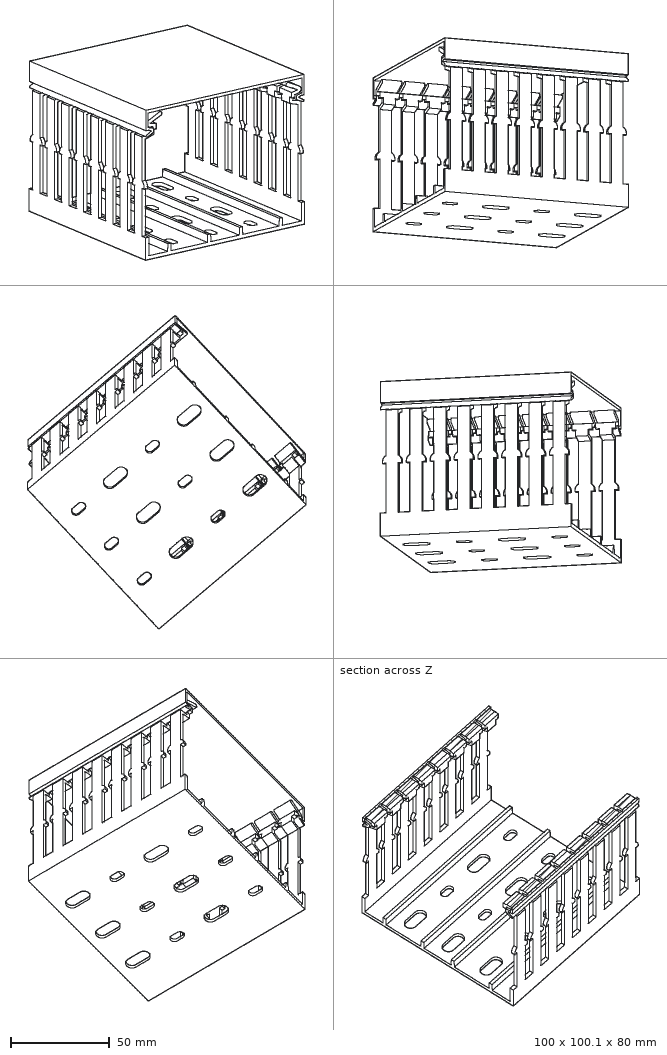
import cadquery as cq
import math

LENGTH = 100.0
WIDTH = 100.1
HEIGHT = 80.0
BOTTOM = -HEIGHT / 2
TOP = HEIGHT / 2

WALL = 2.1
RAIL_HEIGHT = 12.0
SHOULDER_Z = 25.0
INNER_SHOULDER_Z = 23.4
WALL_OUTER = WIDTH / 2
WALL_INNER = WALL_OUTER - WALL

NECK_OUTER = 44.7
NECK_INNER = 42.5
NECK_BOTTOM_INNER_Z = 25.1
NECK_BOTTOM_OUTER_Z = 26.2
NECK_TOP_OUTER_Z = 29.9
NECK_TOP_INNER_Z = 31.4
HOOK_OUTER = 48.3
HOOK_LOWER_Z = 30.7
HOOK_ROOT_Y = 46.2
HOOK_ROOT_Z = 32.1
ARM_TIP_Y = 40.1
ARM_TIP_Z = 36.1
ARM_TIP_RADIUS = 1.1
ARM_ANGLE = 25.5
HOOK_BEND_RADIUS = 1.3

FINGER_COUNT = 8
FINGER_PITCH = 12.5
FINGER_WIDTH = 6.5
HEAD_WIDTH = 10.5
HEAD_BOTTOM_Z = 28.4

BARB_REACH = 1.8
BARB_TOP_Z = 1.5
BARB_CORNER_Z = -1.6
BARB_BOTTOM_Z = -2.4

RIB_HEIGHT = 4.1
RIB_BASE_WIDTH = 2.3
RIB_TOP_WIDTH = 1.8
RIB_PLACES = (-35.0, -10.0, 10.0, 35.0)

SLOT_ROWS = (-25.0, 0.0, 25.0)
SLOT_PITCH = 50.0
LARGE_SLOT_LENGTH = 14.0
LARGE_SLOT_WIDTH = 6.5
LARGE_SLOT_START = -37.5
SMALL_SLOT_LENGTH = 8.0
SMALL_SLOT_WIDTH = 4.5
SMALL_SLOT_START = -12.5

COVER_OUTER = 49.6
COVER_TOP_THICKNESS = 1.7
COVER_SIDE_BOTTOM_Z = 29.0
COVER_INNER = HOOK_OUTER
LIP_UPPER_Z = 30.4
LIP_NOSE_Y = 44.9
LIP_NOSE_UPPER_Z = 29.7
LIP_NOSE_LOWER_Z = 27.4
LIP_NOSE_RADIUS = 0.8
LIP_HEEL_Y = 47.7
NOTCH_Y = 46.4
NOTCH_Z = 28.3
LIP_TIP_Y = 49.0
LIP_TIP_Z = 26.1
LIP_TIP_RADIUS = 0.6
LIP_TIP_ANGLE = 27.0

PICK_MARGIN = 0.1


def extrude_profile(outline):
    """Extrude a YZ outline over the full length, centred on X."""
    return outline.extrude(LENGTH / 2, both=True)


def both_sides(shape):
    """Join a shape with its mirror image across the middle plane."""
    return shape.union(shape.mirror("XZ"))


def offset_point(y, z, distance, angle):
    """Point at a distance from (y, z) in the direction of an angle in degrees."""
    direction = math.radians(angle)
    return (y + distance * math.cos(direction), z + distance * math.sin(direction))


def wall_profile():
    """Wall, neck and snap hook on the +Y side as one strip."""
    arm_upper = offset_point(ARM_TIP_Y, ARM_TIP_Z, ARM_TIP_RADIUS, 90 - ARM_ANGLE)
    arm_end = offset_point(ARM_TIP_Y, ARM_TIP_Z, ARM_TIP_RADIUS, 180 - ARM_ANGLE)
    arm_lower = offset_point(ARM_TIP_Y, ARM_TIP_Z, ARM_TIP_RADIUS, -90 - ARM_ANGLE)
    bend_z = arm_upper[1] - (HOOK_OUTER - arm_upper[0]) * math.tan(math.radians(ARM_ANGLE))
    return (
        cq.Workplane("YZ")
        .moveTo(WALL_OUTER, BOTTOM)
        .lineTo(WALL_OUTER, SHOULDER_Z)
        .lineTo(NECK_OUTER, NECK_BOTTOM_OUTER_Z)
        .lineTo(NECK_OUTER, NECK_TOP_OUTER_Z)
        .lineTo(HOOK_OUTER, HOOK_LOWER_Z)
        .lineTo(HOOK_OUTER, bend_z)
        .lineTo(*arm_upper)
        .threePointArc(arm_end, arm_lower)
        .lineTo(HOOK_ROOT_Y, HOOK_ROOT_Z)
        .lineTo(NECK_INNER, NECK_TOP_INNER_Z)
        .lineTo(NECK_INNER, NECK_BOTTOM_INNER_Z)
        .lineTo(WALL_INNER, INNER_SHOULDER_Z)
        .lineTo(WALL_INNER, BOTTOM)
        .close()
    )


def wall():
    """Extruded wall strip with both corners of the hook bend rounded."""
    strip = extrude_profile(wall_profile())
    bend_edges = cq.selectors.BoxSelector(
        (-LENGTH, HOOK_OUTER - PICK_MARGIN, NECK_TOP_OUTER_Z),
        (LENGTH, HOOK_OUTER + PICK_MARGIN, TOP),
    )
    return strip.edges("|X").edges(bend_edges).fillet(HOOK_BEND_RADIUS)


def finger_outline(x):
    """Outline of one finger with its barbs and head, in the XZ plane."""
    half = FINGER_WIDTH / 2
    barb = half + BARB_REACH
    head = HEAD_WIDTH / 2
    rail_top = BOTTOM + RAIL_HEIGHT
    rise = BARB_TOP_Z - BARB_CORNER_Z
    radius = (rise ** 2 + BARB_REACH ** 2) / (2 * BARB_REACH)
    half_sweep = math.asin(rise / radius) / 2
    arc_side = barb - radius * (1 - math.cos(half_sweep))
    arc_z = BARB_CORNER_Z + radius * math.sin(half_sweep)
    return (
        cq.Workplane("XZ")
        .moveTo(x - half, rail_top)
        .lineTo(x - half, BARB_BOTTOM_Z)
        .lineTo(x - barb, BARB_BOTTOM_Z)
        .lineTo(x - barb, BARB_CORNER_Z)
        .threePointArc((x - arc_side, arc_z), (x - half, BARB_TOP_Z))
        .lineTo(x - half, HEAD_BOTTOM_Z)
        .lineTo(x - head, HEAD_BOTTOM_Z)
        .lineTo(x - head, TOP)
        .lineTo(x + head, TOP)
        .lineTo(x + head, HEAD_BOTTOM_Z)
        .lineTo(x + half, HEAD_BOTTOM_Z)
        .lineTo(x + half, BARB_TOP_Z)
        .threePointArc((x + arc_side, arc_z), (x + barb, BARB_CORNER_Z))
        .lineTo(x + barb, BARB_BOTTOM_Z)
        .lineTo(x + half, BARB_BOTTOM_Z)
        .lineTo(x + half, rail_top)
        .close()
    )


def fingered_wall():
    """The wall strip cut into a solid rail with a row of fingers above it."""
    keep = cq.Workplane("XY").box(LENGTH, WIDTH, RAIL_HEIGHT, centered=(True, True, False))
    keep = keep.translate((0, 0, BOTTOM))
    for index in range(FINGER_COUNT):
        x = (index - (FINGER_COUNT - 1) / 2) * FINGER_PITCH
        keep = keep.union(finger_outline(x).extrude(WIDTH / 2, both=True))
    return wall().intersect(keep)


def rib(y):
    """One tapered rib along the whole floor."""
    floor_top = BOTTOM + WALL
    outline = (
        cq.Workplane("YZ")
        .moveTo(y - RIB_BASE_WIDTH / 2, floor_top)
        .lineTo(y + RIB_BASE_WIDTH / 2, floor_top)
        .lineTo(y + RIB_TOP_WIDTH / 2, floor_top + RIB_HEIGHT)
        .lineTo(y - RIB_TOP_WIDTH / 2, floor_top + RIB_HEIGHT)
        .close()
    )
    return extrude_profile(outline)


def floor_slots(start, length, width):
    """Cutters for the slots of one size: two columns in every row."""
    centers = [(start + column * SLOT_PITCH, y) for column in range(2) for y in SLOT_ROWS]
    return (
        cq.Workplane("XY", origin=(0, 0, BOTTOM))
        .pushPoints(centers)
        .slot2D(length, width)
        .extrude(WALL)
    )


def make_base():
    """Channel with fingered walls, ribs and floor slots."""
    floor = cq.Workplane("XY").box(LENGTH, WIDTH, WALL, centered=(True, True, False))
    body = floor.translate((0, 0, BOTTOM)).union(both_sides(fingered_wall()))
    for y in RIB_PLACES:
        body = body.union(rib(y))
    body = body.cut(floor_slots(LARGE_SLOT_START, LARGE_SLOT_LENGTH, LARGE_SLOT_WIDTH))
    return body.cut(floor_slots(SMALL_SLOT_START, SMALL_SLOT_LENGTH, SMALL_SLOT_WIDTH))


def cover_side():
    """Half of the top plate with the side and snap lip on +Y."""
    tip_upper = offset_point(LIP_TIP_Y, LIP_TIP_Z, LIP_TIP_RADIUS, 90 - LIP_TIP_ANGLE)
    tip_end = offset_point(LIP_TIP_Y, LIP_TIP_Z, LIP_TIP_RADIUS, -LIP_TIP_ANGLE)
    tip_lower = offset_point(LIP_TIP_Y, LIP_TIP_Z, LIP_TIP_RADIUS, -90 - LIP_TIP_ANGLE)
    inner_top = TOP - COVER_TOP_THICKNESS
    profile = (
        cq.Workplane("YZ")
        .moveTo(0, TOP)
        .lineTo(COVER_OUTER, TOP)
        .lineTo(COVER_OUTER, COVER_SIDE_BOTTOM_Z)
        .lineTo(LIP_HEEL_Y, COVER_SIDE_BOTTOM_Z)
        .lineTo(NOTCH_Y, NOTCH_Z)
        .lineTo(*tip_upper)
        .threePointArc(tip_end, tip_lower)
        .lineTo(LIP_NOSE_Y, LIP_NOSE_LOWER_Z)
        .lineTo(LIP_NOSE_Y, LIP_NOSE_UPPER_Z)
        .lineTo(COVER_INNER, LIP_UPPER_Z)
        .lineTo(COVER_INNER, inner_top)
        .lineTo(0, inner_top)
        .close()
    )
    nose_edges = cq.selectors.BoxSelector(
        (-LENGTH, LIP_NOSE_Y - PICK_MARGIN, BOTTOM),
        (LENGTH, LIP_NOSE_Y + PICK_MARGIN, TOP),
    )
    return extrude_profile(profile).edges("|X").edges(nose_edges).fillet(LIP_NOSE_RADIUS)


def make_cover():
    """Snap-on cover, symmetric across the middle plane."""
    return both_sides(cover_side())


base = make_base()
cover = make_cover()
result = cq.Compound.makeCompound([base.val(), cover.val()])